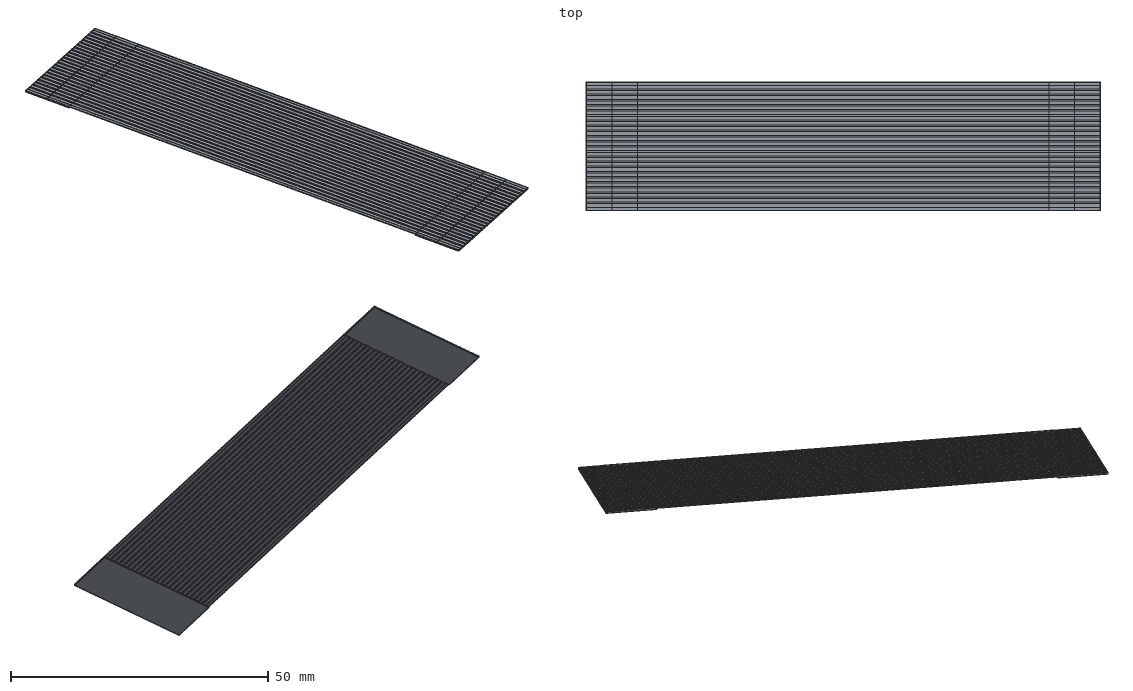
import cadquery as cq

LENGTH = 100.0
WIDTH = 25.0
THICKNESS = 0.36

PITCH = 1.0
CHANNEL_WIDTH = 0.7
CHANNEL_DEPTH = 0.05
CHANNEL_COUNT = round(WIDTH / PITCH) - 1

FILM_THICKNESS = 0.04
EXPOSED_LENGTH = 5.0
STIFFENER_LENGTH = 10.0

COVER_BOTTOM = THICKNESS - FILM_THICKNESS
CHANNEL_BOTTOM = COVER_BOTTOM - CHANNEL_DEPTH
BASE_BOTTOM = CHANNEL_BOTTOM - FILM_THICKNESS


def strip(length, width, bottom, top, x=0.0, y=0.0):
    """Flat strip centred on (x, y) between two heights."""
    block = cq.Workplane("XY").box(length, width, top - bottom, centered=(True, True, False))
    return block.translate((x, y, bottom))


def films():
    """Full-length base film topped by a cover film that is shorter at both ends."""
    base = strip(LENGTH, WIDTH, BASE_BOTTOM, COVER_BOTTOM)
    cover = strip(LENGTH - 2 * EXPOSED_LENGTH, WIDTH, COVER_BOTTOM, THICKNESS)
    return base.union(cover)


def stiffener(side):
    """Reinforcing strip under one end; side is -1 or 1 along X."""
    centre = side * (LENGTH - STIFFENER_LENGTH) / 2
    return strip(STIFFENER_LENGTH, WIDTH, 0.0, BASE_BOTTOM, x=centre)


def channel(index):
    """Full-length channel, open on top where the cover is missing."""
    y = (index - (CHANNEL_COUNT - 1) / 2) * PITCH
    return strip(LENGTH, CHANNEL_WIDTH, CHANNEL_BOTTOM, COVER_BOTTOM, y=y)


result = films()
for end in (-1, 1):
    result = result.union(stiffener(end))
for number in range(CHANNEL_COUNT):
    result = result.cut(channel(number))